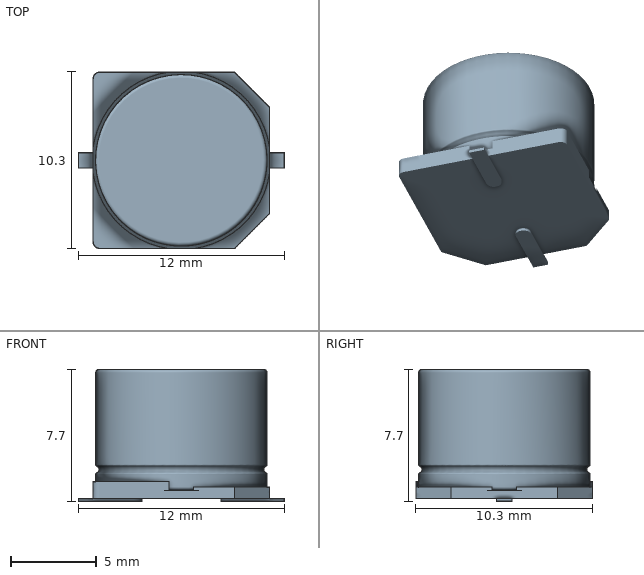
import cadquery as cq

total_length = 12.0
total_height = 7.7
base_width = 10.3

base_bottom = 0.17
base_low_top = 0.83
base_high_top = 1.15
corner_radius = 0.41
corner_chamfer = 2.05
pocket_radius = 5.2
pocket_floor = 0.64

can_radius = 10.0 / 2
can_edge_radius = 0.2
groove_center_z = 1.86
groove_height = 0.42
groove_depth = 0.19
groove_lip_radius = 0.11

lead_width = 0.91
lead_thickness = base_bottom
lead_inner_x = 2.3


def make_base():
    """Square base with two chamfered corners, a lower +X half and a round pocket for the can."""
    half_width = base_width / 2
    body = (
        cq.Workplane("XY")
        .workplane(offset=base_bottom)
        .rect(base_width, base_width)
        .extrude(base_high_top - base_bottom)
    )
    body = body.edges("|Z and <X").fillet(corner_radius)
    body = body.edges("|Z and >X").chamfer(corner_chamfer)
    step = (
        cq.Workplane("XY")
        .workplane(offset=base_low_top)
        .center(half_width / 2, 0)
        .rect(half_width, base_width)
        .extrude(base_high_top - base_low_top)
    )
    pocket = (
        cq.Workplane("XY")
        .workplane(offset=pocket_floor)
        .circle(pocket_radius)
        .extrude(base_high_top - pocket_floor)
    )
    return body.cut(step).cut(pocket)


def make_can():
    """Cylindrical can with rounded rims and a crimped groove near its foot."""
    can = (
        cq.Workplane("XY")
        .workplane(offset=pocket_floor)
        .circle(can_radius)
        .extrude(total_height - pocket_floor)
        .faces("<Z or >Z")
        .edges()
        .fillet(can_edge_radius)
    )
    groove_bottom = groove_center_z - groove_height / 2
    groove_top = groove_center_z + groove_height / 2
    groove = (
        cq.Workplane("XZ")
        .moveTo(can_radius, groove_bottom)
        .threePointArc((can_radius - groove_depth, groove_center_z), (can_radius, groove_top))
        .close()
        .revolve(360, (0, 0, 0), (0, 1, 0))
    )
    can = can.cut(groove)
    lips = cq.selectors.BoxSelector(
        (-total_length, -total_length, groove_bottom - groove_lip_radius),
        (total_length, total_length, groove_top + groove_lip_radius),
    )
    return can.edges(lips).edges("%CIRCLE").fillet(groove_lip_radius)


def make_lead(side):
    """Flat lead with a round inner end; side is -1 or +1 along X."""
    half_width = lead_width / 2
    outer_x = side * total_length / 2
    round_x = side * (lead_inner_x + half_width)
    return (
        cq.Workplane("XY")
        .moveTo(outer_x, -half_width)
        .lineTo(round_x, -half_width)
        .threePointArc((side * lead_inner_x, 0), (round_x, half_width))
        .lineTo(outer_x, half_width)
        .close()
        .extrude(lead_thickness)
    )


result = make_base().union(make_can())
for lead_side in (-1, 1):
    result = result.union(make_lead(lead_side))